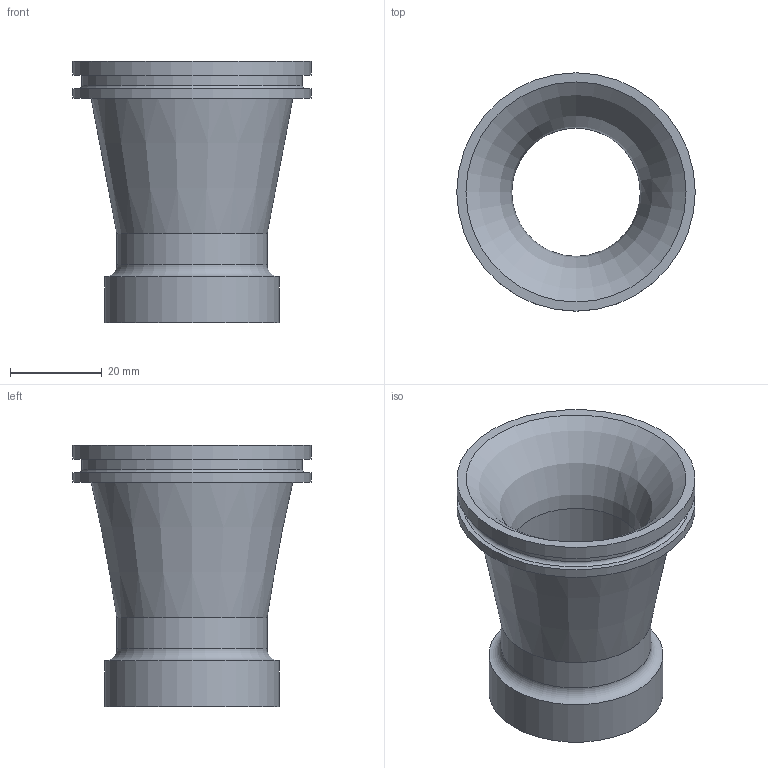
import cadquery as cq
import math

base_height = 10.0
neck_top = 19.4
flange_bottom = 49.0
groove_bottom = 51.0
groove_top = 54.0
total_height = 57.0

base_radius = 38.0 / 2
neck_radius = 32.8 / 2
cone_top_radius = 44.0 / 2
groove_radius = 48.2 / 2
flange_radius = 52.0 / 2

bore_radius = 28.0 / 2
mouth_radius = 48.0 / 2
flare_radius = 21.0

neck_fillet = base_radius - neck_radius
groove_fillet = 0.8

HALF_SQRT2 = math.sqrt(0.5)


def concave_fillet(profile, wall_radius, floor_height, fillet):
    """Arc from a level floor up into a vertical wall, tangent to both."""
    centre_radius = wall_radius + fillet
    centre_height = floor_height + fillet
    middle = (centre_radius - fillet * HALF_SQRT2, centre_height - fillet * HALF_SQRT2)
    return profile.threePointArc(middle, (wall_radius, centre_height))


def make_body():
    """Solid of revolution: base, neck, cone and grooved flange."""
    profile = cq.Workplane("XZ").lineTo(base_radius, 0).lineTo(base_radius, base_height)
    profile = concave_fillet(profile, neck_radius, base_height, neck_fillet)
    profile = (
        profile.lineTo(neck_radius, neck_top)
        .lineTo(cone_top_radius, flange_bottom)
        .lineTo(flange_radius, flange_bottom)
        .lineTo(flange_radius, groove_bottom)
        .lineTo(groove_radius + groove_fillet, groove_bottom)
    )
    profile = concave_fillet(profile, groove_radius, groove_bottom, groove_fillet)
    profile = (
        profile.lineTo(groove_radius, groove_top)
        .lineTo(flange_radius, groove_top)
        .lineTo(flange_radius, total_height)
        .lineTo(0, total_height)
        .close()
    )
    return profile.revolve(360, (0, 0), (0, 1))


def make_passage():
    """Through bore that flares, along an arc tangent to the bore, to the mouth."""
    centre_radius = bore_radius + flare_radius
    mouth_angle = math.acos((centre_radius - mouth_radius) / flare_radius)
    flare_start = total_height - flare_radius * math.sin(mouth_angle)
    middle = (
        centre_radius - flare_radius * math.cos(mouth_angle / 2),
        flare_start + flare_radius * math.sin(mouth_angle / 2),
    )
    return (
        cq.Workplane("XZ")
        .lineTo(bore_radius, 0)
        .lineTo(bore_radius, flare_start)
        .threePointArc(middle, (mouth_radius, total_height))
        .lineTo(0, total_height)
        .close()
        .revolve(360, (0, 0), (0, 1))
    )


result = make_body().cut(make_passage())